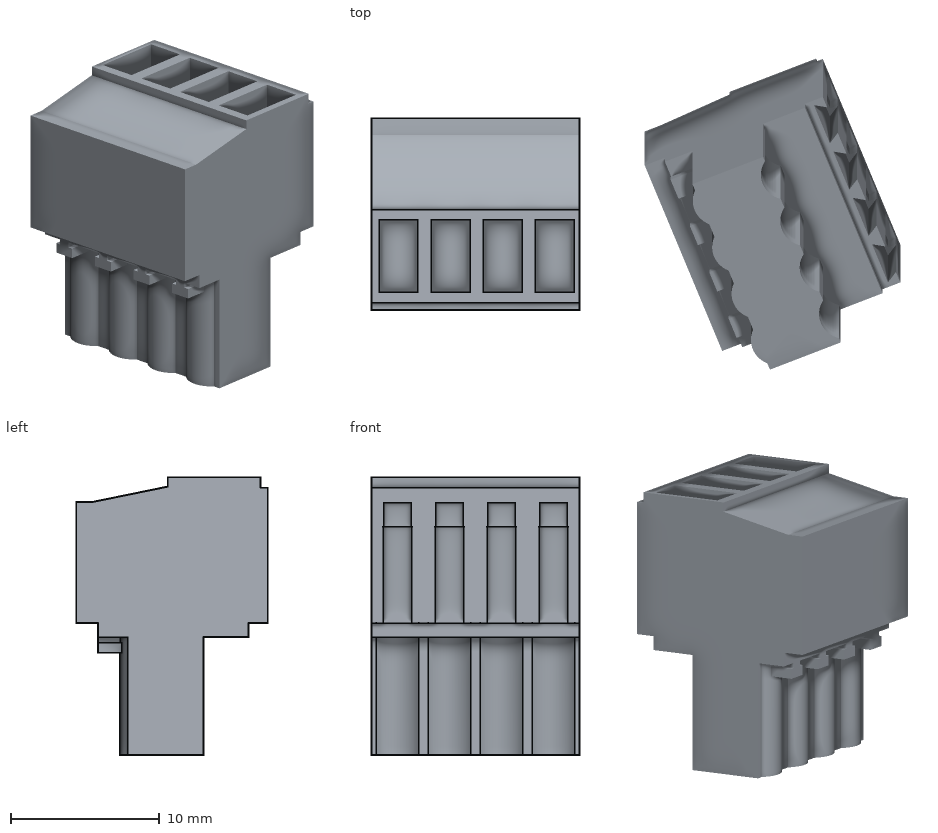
import cadquery as cq

length = 14.0
depth = 12.9
height = 18.7

way_count = 4
pitch = length / way_count
way_positions = [(i - (way_count - 1) / 2) * pitch for i in range(way_count)]

post_front = 4.32
post_back = 9.45
collar_front = 1.29
collar_back = 11.45
collar_bottom = 7.93
block_bottom = 8.88
front_ledge_height = 17.99
rim_front = 0.49
rim_back = 6.75
slope_top = 18.06
slope_back = 11.78
rear_top = 17.04

groove_width = 2.85
groove_depth = 0.73
rib_width = 2.55
rib_depth = 0.55

window_width = 1.85
window_depth = 0.55
window_top = 16.96
slot_top = 15.35
slot_mouth_width = 1.93
slot_floor_width = 2.88
slot_depth = 0.77

entry_width = 2.62
entry_front = 1.2
entry_length = 4.86
entry_depth = 1.96
entry_offset = 0.07

tab_neck_width = 0.75
tab_neck_height = 0.35
tab_head_width = 1.44
tab_head_height = 0.7


def centred_box(x, width, y_range, z_range):
    """Box centred on x and spanning the given ranges of Y and Z."""
    (y0, y1), (z0, z1) = y_range, z_range
    return (
        cq.Workplane("XY")
        .box(width, y1 - y0, z1 - z0, centered=(True, False, False))
        .translate((x, y0, z0))
    )


def arc_column(x, base_y, width, rise):
    """Column with an arc-segment section, as tall as the post, bulging toward +Y from base_y."""
    return (
        cq.Workplane("XY")
        .moveTo(x - width / 2, base_y)
        .threePointArc((x, base_y + rise), (x + width / 2, base_y))
        .close()
        .extrude(collar_bottom)
    )


def dovetail_slot(x):
    """Slot that widens inward, open at the front face and at the bottom of the block."""
    half_mouth = slot_mouth_width / 2
    half_floor = slot_floor_width / 2
    return (
        cq.Workplane("XY")
        .workplane(offset=block_bottom)
        .polyline([
            (x - half_mouth, 0),
            (x + half_mouth, 0),
            (x + half_floor, slot_depth),
            (x - half_floor, slot_depth),
        ])
        .close()
        .extrude(slot_top - block_bottom)
    )


def front_window(x):
    """Shallow rectangular recess above the dovetail slot."""
    return centred_box(x, window_width, (0, window_depth), (slot_top, window_top))


def wire_entry(x):
    """Blind rectangular pocket in the top face."""
    return centred_box(
        x + entry_offset,
        entry_width,
        (entry_front, entry_front + entry_length),
        (height - entry_depth, height),
    )


def make_housing():
    """Terminal block with its plug post, extruded from the side outline."""
    outline = [
        (post_front, 0),
        (post_front, collar_bottom),
        (collar_front, collar_bottom),
        (collar_front, block_bottom),
        (0, block_bottom),
        (0, front_ledge_height),
        (rim_front, front_ledge_height),
        (rim_front, height),
        (rim_back, height),
        (rim_back, slope_top),
        (slope_back, rear_top),
        (depth, rear_top),
        (depth, block_bottom),
        (collar_back, block_bottom),
        (collar_back, collar_bottom),
        (post_back, collar_bottom),
        (post_back, 0),
    ]
    body = cq.Workplane("YZ").polyline(outline).close().extrude(length / 2, both=True)
    for x in way_positions:
        body = body.union(arc_column(x, post_back, rib_width, rib_depth))
        body = body.cut(arc_column(x, post_front, groove_width, groove_depth))
        body = body.cut(dovetail_slot(x))
        body = body.cut(front_window(x))
        body = body.cut(wire_entry(x))
    return body


def make_coding_tab(x):
    """T-shaped tab under the collar, its inner end shaped to the rib of the post."""
    neck_bottom = collar_bottom - tab_neck_height
    head_bottom = neck_bottom - tab_head_height
    y_range = (post_back, collar_back)
    neck = centred_box(x, tab_neck_width, y_range, (neck_bottom, collar_bottom))
    head = centred_box(x, tab_head_width, y_range, (head_bottom, neck_bottom))
    return neck.union(head).cut(arc_column(x, post_back, rib_width, rib_depth))


housing = make_housing()
coding_tabs = [make_coding_tab(x) for x in way_positions]

result = cq.Compound.makeCompound([housing.val(), *[tab.val() for tab in coding_tabs]])